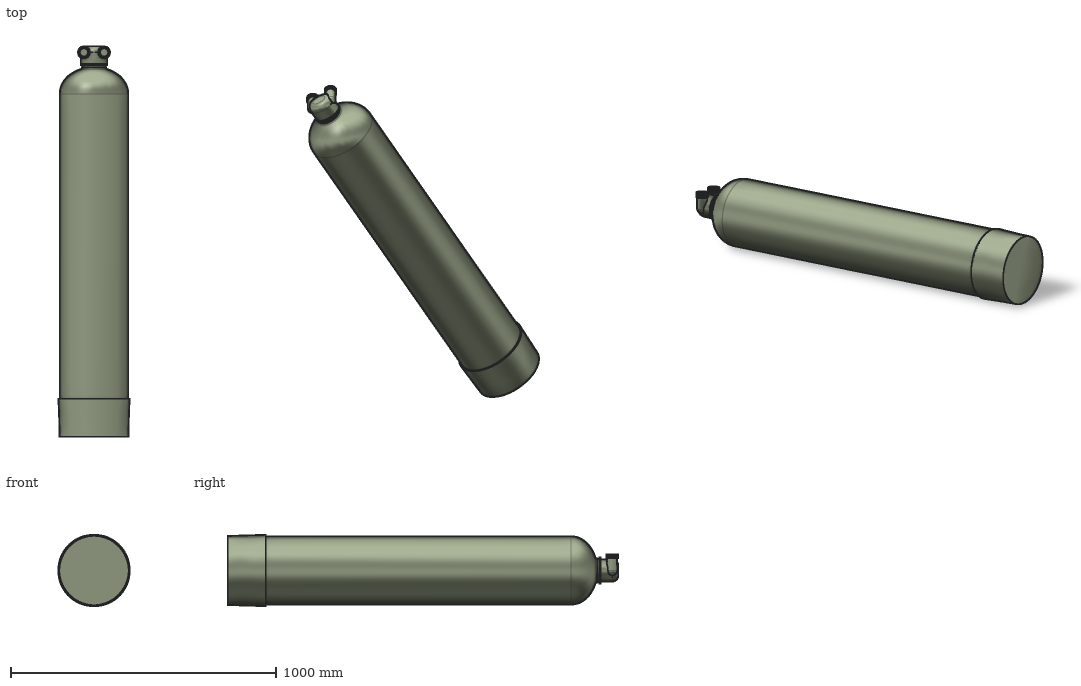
import cadquery as cq
import math

total_length = 1473.0
base_outer_radius = 135.0
base_end_radius = 130.5
base_length = 144.0
shell_radius = 129.5

shell_top_from_end = 179.0
dome_apex_from_end = 79.0
shoulder_from_end = 80.0
flange_from_end = 67.0

shoulder_radius = 46.0
shoulder_fillet = 4.0
neck_radius = 43.5
flange_radius = 50.5
flange_thickness = 5.0

head_half_width = 50.0
head_half_height = 42.5
head_end_fillet = 24.0

port_offset = 38.0
port_radius = 19.5
port_top = 61.0
collar_radius = 22.5
collar_height = 15.0

bore_radius = 15.5
bore_depth = 6.0
mouth_chamfer = 2.5

groove_count = 2
groove_depth = 1.5
groove_width = 3.0

base_y = -total_length / 2
end_y = total_length / 2
base_top_y = base_y + base_length
shell_top_y = end_y - shell_top_from_end
shoulder_y = end_y - shoulder_from_end
flange_y = end_y - flange_from_end
flange_back_y = flange_y - flange_thickness
port_y = end_y - head_end_fillet


def make_vessel():
    """Tapered base, straight shell, elliptical dome, neck and flange, turned about Y."""
    dome_height = shell_top_from_end - dome_apex_from_end
    dome_end_angle = math.degrees(math.acos(shoulder_radius / shell_radius))
    profile = (
        cq.Workplane("ZY")
        .moveTo(0, base_y)
        .lineTo(base_end_radius, base_y)
        .lineTo(base_outer_radius, base_top_y)
        .lineTo(shell_radius, base_top_y)
        .lineTo(shell_radius, shell_top_y)
        .ellipseArc(shell_radius, dome_height, 0, dome_end_angle, startAtCurrent=True)
        .lineTo(shoulder_radius, shoulder_y)
        .lineTo(neck_radius, shoulder_y)
        .lineTo(neck_radius, flange_back_y)
        .lineTo(flange_radius, flange_back_y)
        .lineTo(flange_radius, flange_y)
        .lineTo(0, flange_y)
        .close()
    )
    vessel = profile.revolve(360, (0, 0), (0, 1))
    shoulder_foot_y = shell_top_y + dome_height * math.sin(math.radians(dome_end_angle))
    shoulder_foot = cq.selectors.NearestToPointSelector((0, shoulder_foot_y, 0))
    return vessel.edges("%CIRCLE").edges(shoulder_foot).fillet(shoulder_fillet)


def make_head():
    """Elliptical valve body with its far end rounded over."""
    body = (
        cq.Workplane("XZ", origin=(0, flange_y, 0))
        .ellipse(head_half_width, head_half_height)
        .extrude(flange_y - end_y)
    )
    return body.faces(">Y").edges().fillet(head_end_fillet)


def make_port(x):
    """Upright port with a round foot, a grooved collar and a shallow mouth, turned about Z."""
    collar_bottom = port_top - collar_height
    groove_radius = collar_radius - groove_depth
    rib_width = (collar_height - groove_count * groove_width) / (groove_count + 1)
    foot_mid = port_radius * math.sqrt(0.5)
    mouth_floor = port_top - bore_depth

    profile = (
        cq.Workplane("YZ", origin=(x, port_y, 0))
        .moveTo(0, -port_radius)
        .threePointArc((foot_mid, -foot_mid), (port_radius, 0))
        .lineTo(port_radius, collar_bottom)
        .lineTo(collar_radius, collar_bottom)
    )
    for index in range(groove_count):
        groove_bottom = collar_bottom + rib_width + index * (rib_width + groove_width)
        groove_top = groove_bottom + groove_width
        profile = (
            profile.lineTo(collar_radius, groove_bottom)
            .lineTo(groove_radius, groove_bottom)
            .lineTo(groove_radius, groove_top)
            .lineTo(collar_radius, groove_top)
        )
    profile = (
        profile.lineTo(collar_radius, port_top)
        .lineTo(bore_radius + mouth_chamfer, port_top)
        .lineTo(bore_radius, port_top - mouth_chamfer)
        .lineTo(bore_radius, mouth_floor)
        .lineTo(0, mouth_floor)
        .close()
    )
    return profile.revolve(360, (0, 0), (0, 1))


result = make_vessel().union(make_head())
for side in (-1, 1):
    result = result.union(make_port(side * port_offset))